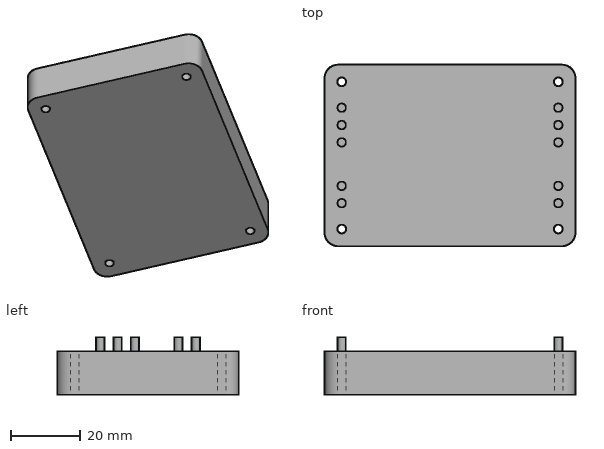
import cadquery as cq

length = 72.5
width = 52.5
total_height = 16.7
pin_height = 4.05
body_height = total_height - pin_height
corner_radius = 4.05

column_spacing = 62.5
column_x = column_spacing / 2
hole_spacing_y = 42.5
hole_diameter = 2.5
pin_diameter = 2.5

pin_pitch = 5.0
outer_pin_y = 13.8
pin_rows = [
    outer_pin_y,
    outer_pin_y - pin_pitch,
    outer_pin_y - 2 * pin_pitch,
    -outer_pin_y + pin_pitch,
    -outer_pin_y,
]


def make_body():
    """Rounded block standing on the XY plane."""
    block = cq.Workplane("XY").box(length, width, body_height, centered=(True, True, False))
    return block.edges("|Z").fillet(corner_radius)


def drill_mounting_holes(body):
    """Through holes near the four corners."""
    return (
        body.faces(">Z").workplane()
        .rect(column_spacing, hole_spacing_y, forConstruction=True)
        .vertices()
        .hole(hole_diameter)
    )


def add_pins(body):
    """Two columns of round pins standing on the top face."""
    pin_places = [(x, y) for x in (-column_x, column_x) for y in pin_rows]
    return (
        body.faces(">Z").workplane()
        .pushPoints(pin_places)
        .circle(pin_diameter / 2)
        .extrude(pin_height)
    )


result = add_pins(drill_mounting_holes(make_body()))